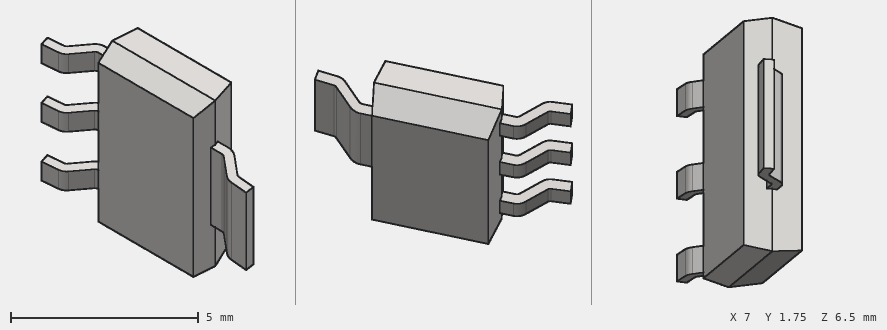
import cadquery as cq
import math

BODY_LENGTH = 3.5
BODY_HEIGHT = 6.5
BODY_BACK = 0.895
BODY_FRONT = 0.76
DRAFT_ANGLE = 10.0

TIP_X = 3.5
FOOT_Y = BODY_BACK - 1.75
SHELF_Y = 0.13
THICKNESS = 0.29
FOOT_BEND_X = 2.975
FOOT_BEND_RADIUS = 0.11
SHELF_BEND_RADIUS = 0.155
FOOT_ANGLE = 5.0
RISER_ANGLE = 45.0

LEAD_WIDTH = 0.75
LEAD_PITCH = 2.3
LEAD_COUNT = 3
TAB_WIDTH = 3.04


def make_body_half(depth):
    """Drafted block that narrows from the parting plane toward -Y."""
    return cq.Workplane("XZ").rect(BODY_LENGTH, BODY_HEIGHT).extrude(depth, taper=DRAFT_ANGLE)


def make_body():
    """Front half and mirrored back half joined at their widest section."""
    front = make_body_half(BODY_FRONT)
    back = make_body_half(BODY_BACK).mirror("XZ")
    return front.union(back)


def around(center, radius, angle):
    """Point on a circle, with the angle in degrees from +X."""
    turn = math.radians(angle)
    return (center[0] + radius * math.cos(turn), center[1] + radius * math.sin(turn))


def make_bent_strip(width, z):
    """Bent strip on the +X side, centred at height z, ending on the body surface."""
    tilt = math.radians(FOOT_ANGLE)
    riser = math.radians(RISER_ANGLE)
    tip_back = (TIP_X, FOOT_Y + THICKNESS * math.cos(tilt))
    tip_front = (TIP_X - THICKNESS * math.sin(tilt), FOOT_Y)

    foot_outer = FOOT_BEND_RADIUS + THICKNESS
    face_y = FOOT_Y + (tip_front[0] - FOOT_BEND_X) * math.tan(tilt)
    foot_center = (FOOT_BEND_X, face_y + foot_outer / math.cos(tilt))

    shelf_outer = SHELF_BEND_RADIUS + THICKNESS
    shelf_center_y = SHELF_Y - shelf_outer
    center_distance = foot_outer + SHELF_BEND_RADIUS
    drop = shelf_center_y - foot_center[1]
    shelf_center_x = FOOT_BEND_X - (center_distance + drop * math.cos(riser)) / math.sin(riser)
    shelf_center = (shelf_center_x, shelf_center_y)

    shelf_start = 90.0
    shelf_end = 90.0 - RISER_ANGLE
    shelf_middle = (shelf_start + shelf_end) / 2
    foot_start = 270.0 - RISER_ANGLE
    foot_end = 270.0 - FOOT_ANGLE
    foot_middle = (foot_start + foot_end) / 2

    root_x = BODY_LENGTH / 2 - THICKNESS
    strip = (
        cq.Workplane("XY", origin=(0, 0, z - width / 2))
        .moveTo(root_x, SHELF_Y)
        .lineTo(*around(shelf_center, shelf_outer, shelf_start))
        .threePointArc(
            around(shelf_center, shelf_outer, shelf_middle),
            around(shelf_center, shelf_outer, shelf_end),
        )
        .lineTo(*around(foot_center, FOOT_BEND_RADIUS, foot_start))
        .threePointArc(
            around(foot_center, FOOT_BEND_RADIUS, foot_middle),
            around(foot_center, FOOT_BEND_RADIUS, foot_end),
        )
        .lineTo(*tip_back)
        .lineTo(*tip_front)
        .lineTo(*around(foot_center, foot_outer, foot_end))
        .threePointArc(
            around(foot_center, foot_outer, foot_middle),
            around(foot_center, foot_outer, foot_start),
        )
        .lineTo(*around(shelf_center, SHELF_BEND_RADIUS, shelf_end))
        .threePointArc(
            around(shelf_center, SHELF_BEND_RADIUS, shelf_middle),
            around(shelf_center, SHELF_BEND_RADIUS, shelf_start),
        )
        .lineTo(root_x, SHELF_Y - THICKNESS)
        .close()
        .extrude(width)
    )
    return strip.cut(make_body())


def make_lead(z):
    """Narrow lead on the -X side."""
    return make_bent_strip(LEAD_WIDTH, z).mirror("YZ")


def make_tab():
    """Wide tab on the +X side."""
    return make_bent_strip(TAB_WIDTH, 0)


body = make_body()
tab = make_tab()
leads = []
for index in range(LEAD_COUNT):
    lead_z = (index - (LEAD_COUNT - 1) / 2) * LEAD_PITCH
    leads.append(make_lead(lead_z).solids().val())

result = cq.Compound.makeCompound([body.solids().val(), tab.solids().val(), *leads])